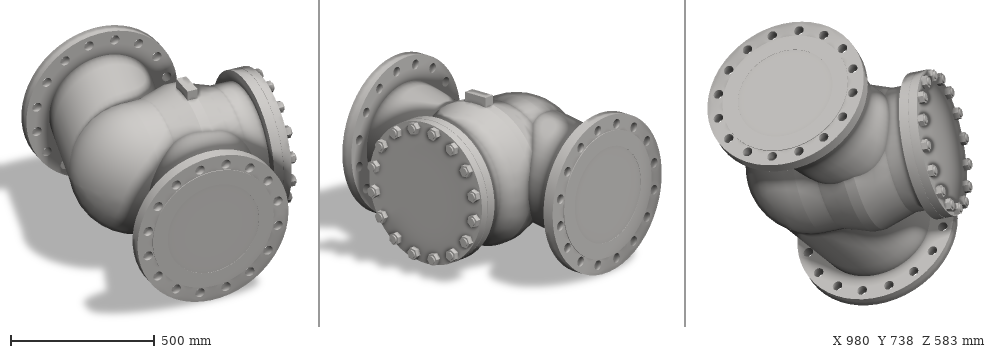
import cadquery as cq
import math

face_to_face = 980.0

pipe_flange_diameter = 580.0
pipe_flange_thickness = 42.0
raised_face_diameter = 465.0
raised_face_height = 3.0
bore_diameter = 351.0
bore_recess = 1.0
flange_hole_count = 16
flange_hole_diameter = 35.0
flange_bolt_circle = 508.0

pipe_radius = 196.0
inlet_slope = 14.1
outlet_slope = 20.0

bowl_radius = 231.0
bowl_center_y = -76.0
shoulder_y = 0.0
belly_radius = 261.0
belly_bottom_y = 103.0
belly_width = 39.0
belly_top_y = belly_bottom_y + belly_width
neck_radius = 221.0
neck_bottom_y = 263.0
neck_top_y = 339.0

joint_radius = belly_radius
body_flange_thickness = 34.0
gasket_thickness = 3.0
gasket_setback = 1.0
cover_thickness = 29.0
cover_top_y = neck_top_y + body_flange_thickness + gasket_thickness + cover_thickness

stud_count = 16
stud_circle_radius = 236.0
stud_diameter = 28.0
stud_end_length = 6.0
nut_across_flats = 39.0
nut_height = 20.0

pad_length = 96.0
pad_top_z = 293.0

flange_back_x = face_to_face / 2 - raised_face_height - pipe_flange_thickness


def disc_along_y(radius, start_y, thickness):
    """Round disc on the bonnet axis, growing towards +Y."""
    return cq.Workplane("XZ", origin=(0, start_y, 0)).circle(radius).extrude(-thickness)


def make_body():
    """Turned body: hemispherical bowl, tapered shoulder, belly band and neck."""
    bowl_bottom_y = bowl_center_y - bowl_radius
    bowl_45 = bowl_radius * math.sqrt(0.5)
    profile = (
        cq.Workplane("XY")
        .moveTo(0, bowl_bottom_y)
        .threePointArc((bowl_45, bowl_center_y - bowl_45), (bowl_radius, bowl_center_y))
        .lineTo(bowl_radius, shoulder_y)
        .lineTo(belly_radius, belly_bottom_y)
        .lineTo(belly_radius, belly_top_y)
        .lineTo(neck_radius, neck_bottom_y)
        .lineTo(neck_radius, neck_top_y)
        .lineTo(0, neck_top_y)
        .close()
    )
    return profile.revolve(360, (0, 0, 0), (0, 1, 0))


def make_bonnet_joint():
    """Body flange, slightly set back gasket and cover stacked on the neck."""
    gasket_y = neck_top_y + body_flange_thickness
    cover_y = gasket_y + gasket_thickness
    body_flange = disc_along_y(joint_radius, neck_top_y, body_flange_thickness)
    gasket = disc_along_y(joint_radius - gasket_setback, gasket_y, gasket_thickness)
    cover = disc_along_y(joint_radius, cover_y, cover_thickness)
    return body_flange.union(gasket).union(cover)


def make_cover_studs():
    """Ring of hexagon nuts with stud ends, one flat of each nut facing outwards."""
    nut_corner_diameter = nut_across_flats / math.cos(math.radians(30))
    pitch = 360 / stud_count
    cover_plane = cq.Workplane("XZ", origin=(0, cover_top_y, 0)).center(0, stud_circle_radius)
    nut = cover_plane.polygon(6, nut_corner_diameter).extrude(-nut_height)
    stud = cover_plane.circle(stud_diameter / 2).extrude(-(nut_height + stud_end_length))
    fastener = nut.union(stud)
    ring = cq.Workplane("XY")
    for index in range(stud_count):
        angle = (index + 0.5) * pitch
        ring = ring.add(fastener.rotate((0, 0, 0), (0, 1, 0), angle))
    return ring.combine()


def make_pipe_flange(side):
    """Drilled flange with raised face; side is -1 for the inlet end, +1 for the outlet end."""
    plane = cq.Plane(origin=(side * flange_back_x, 0, 0), xDir=(0, 1, 0), normal=(side, 0, 0))
    full_thickness = pipe_flange_thickness + raised_face_height
    half_pitch = 180 / flange_hole_count
    disc = cq.Workplane(plane).circle(pipe_flange_diameter / 2).extrude(pipe_flange_thickness)
    raised_face = cq.Workplane(plane).circle(raised_face_diameter / 2).extrude(full_thickness)
    holes = (
        cq.Workplane(plane)
        .polarArray(flange_bolt_circle / 2, half_pitch, 360, flange_hole_count)
        .circle(flange_hole_diameter / 2)
        .extrude(full_thickness)
    )
    recess = (
        cq.Workplane(plane)
        .workplane(offset=full_thickness - bore_recess)
        .circle(bore_diameter / 2)
        .extrude(bore_recess)
    )
    return disc.union(raised_face).cut(holes).cut(recess)


def make_pipe(side, angle, length):
    """Pipe whose axis leaves the back face centre of a flange at an angle in the XY plane.

    The pipe is lengthened beyond the flange and then trimmed square on its back face.
    """
    axis = cq.Vector(math.cos(math.radians(angle)), math.sin(math.radians(angle)), 0)
    overlap = pipe_radius
    start = cq.Vector(side * flange_back_x, 0, 0) - axis * overlap
    plane = cq.Plane(origin=start.toTuple(), xDir=(0, 0, 1), normal=axis.toTuple())
    trim_size = 2 * flange_back_x
    trim = cq.Workplane("XY").box(trim_size, trim_size, trim_size)
    return cq.Workplane(plane).circle(pipe_radius).extrude(length + overlap).intersect(trim)


def make_inlet_pipe():
    """Inlet pipe sloping down so that its underside runs nearly tangent into the bowl."""
    center_distance = math.hypot(flange_back_x, bowl_center_y)
    angle_to_center = math.degrees(math.atan2(bowl_center_y, flange_back_x))
    length = center_distance * math.cos(math.radians(inlet_slope + angle_to_center))
    return make_pipe(-1, -inlet_slope, length)


def make_outlet_pipe():
    """Outlet pipe rising from its flange to the bonnet axis."""
    length = flange_back_x / math.cos(math.radians(outlet_slope))
    return make_pipe(1, 180 - outlet_slope, length)


def make_pad():
    """Rectangular pad standing on the belly band."""
    return (
        cq.Workplane("XY", origin=(0, belly_bottom_y + belly_width / 2, 0))
        .rect(pad_length, belly_width)
        .extrude(pad_top_z)
    )


result = (
    make_body()
    .union(make_inlet_pipe())
    .union(make_outlet_pipe())
    .union(make_pipe_flange(-1))
    .union(make_pipe_flange(1))
    .union(make_bonnet_joint())
    .union(make_cover_studs())
    .union(make_pad())
)